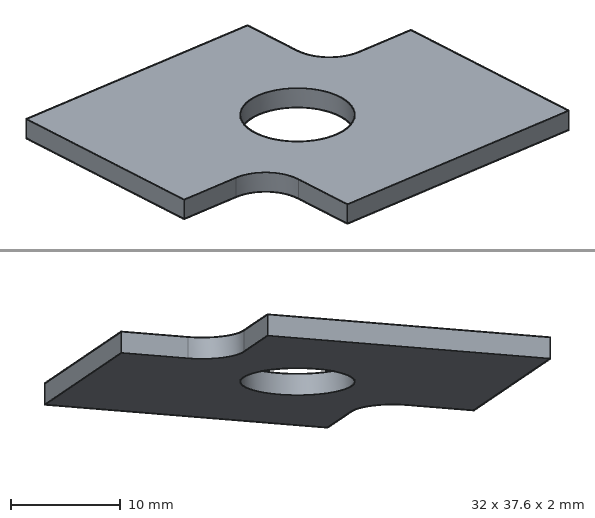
import cadquery as cq

plate_width = 32.0
plate_length = 37.59
plate_thickness = 2.0

hole_diameter = 10.41

notch_width = 10.67
notch_length = 10.37
notch_corner_radius = 4.0


def make_plate():
    """Rectangular plate centred on the origin."""
    return cq.Workplane("XY").box(plate_width, plate_length, plate_thickness)


def make_notch(x_side, y_side):
    """Cutter for one plate corner, with its inner vertical corner rounded.

    The cutter is twice the notch size and centred on the plate corner,
    so it runs clear of the outer edges.
    """
    corner = (x_side * plate_width / 2, y_side * plate_length / 2)
    return (
        cq.Workplane("XY")
        .center(*corner)
        .rect(2 * notch_width, 2 * notch_length)
        .extrude(plate_thickness, both=True)
        .edges("|Z")
        .fillet(notch_corner_radius)
    )


result = make_plate().faces(">Z").workplane().hole(hole_diameter)
for x_side, y_side in ((-1, 1), (1, -1)):
    result = result.cut(make_notch(x_side, y_side))